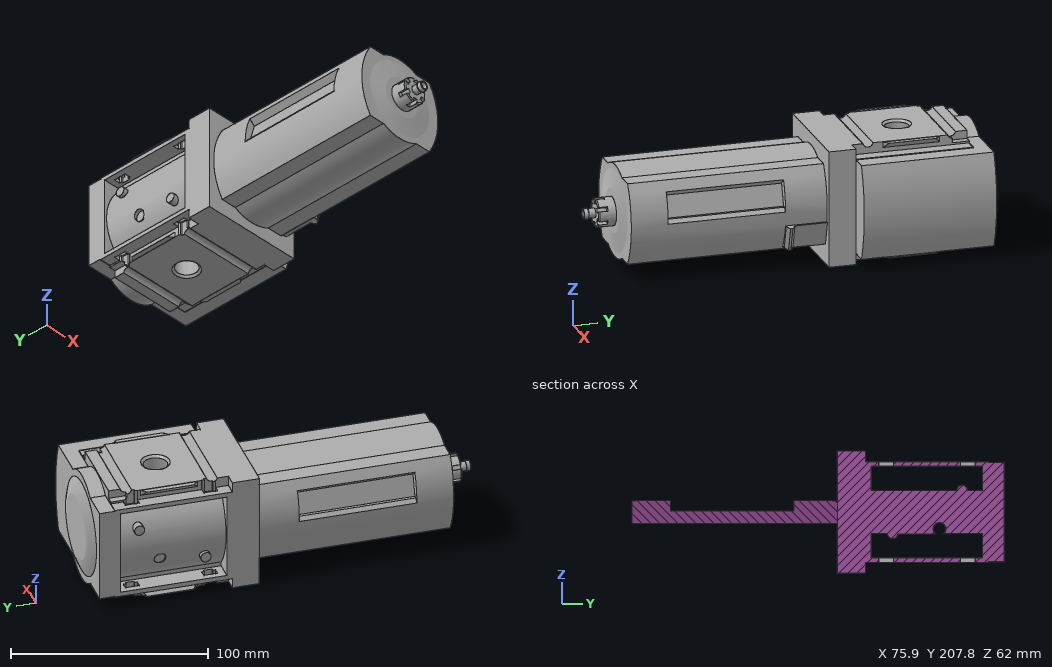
import cadquery as cq
import math


block_half = 31.0
block_back = 76.5
plate_back = 84.5
plate_half_height = 25.1
strip_half_height = 25.5
strip_front = 14.3
centre_half_width = 24.1
wing_edge_x = 40.1
wing_side_x = 44.9

cartridge_radius = 29.5
window_front = 17.2
window_back = 73.4
window_half_height = 23.0
window_floor_x = 21.0
bump_half_width = 14.8
bump_top = 30.3

dome_back = 87.3
dome_base_radius = 25.8
dome_flat_radius = 17.0
dome_rim_radius = 22.2
dome_rim_y = 86.2

pin_diameter = 5.5
pin_end_x = 30.3
pin_places = [(63.2, 11.0), (28.0, -10.8)]
spot_diameter = 6.2
spot_place = (51.7, -8.5)
spot_floor_x = 26.8

port_y = 45.5
port_diameter = 12.5
port_mouth_diameter = 15.0
port_depth = 12.5
groove_places = [67.7, 22.9]
groove_radius = 2.7
groove_depth = 2.0
notch_inner_x = 20.2
notch_front = 67.5
notch_floor = 26.5
tab_overhang = 2.7
tab_front = 30.8
tab_back = 60.7
tab_drop = 0.2
tab_height = 3.0
slot_places = [66.0, 24.7]
slot_outer_x = 27.5
slot_step_x = 24.0
slot_inner_x = 22.7
slot_wide = 7.3
slot_narrow = 4.5

bowl_end = -103.7
bowl_half_width = 27.8
bowl_flat_half = 21.6
bowl_bulge_half_width = 12.0
bowl_bulge_top = 24.7
cone_end = -105.1
cone_flat_radius = 11.6
sight_front = -84.2
sight_back = -22.0
sight_low = 0.0
sight_high = 16.2
sight_floor_low = 2.0
sight_floor_high = 13.3
sight_bevel_depth = 1.7
sight_depth = 3.3

latch_end = -21.8
latch_foot_x = 21.8
latch_low_x = 25.0
latch_high_x = 28.5
latch_low_z = -20.4
latch_high_z = -7.7
ridge_height = 2.0
ridge_length = 4.5
ridge_top_length = 1.2

drain_diameter = 15.0
drain_end = -114.5
drain_slot_count = 6
drain_slot_width = 2.3
drain_slot_length = 5.0
drain_slot_core_diameter = 10.0
drain_chamfer = 0.6
stem_diameter = 5.0
stem_bore_diameter = 3.7
stem_collar_diameter = 5.8
stem_collar_start = -118.2
stem_collar_width = 0.5
stem_end = -120.5


def box(x0, x1, y0, y1, z0, z1):
    """A box given by its limits along each axis."""
    return cq.Workplane("XY").box(x1 - x0, y1 - y0, z1 - z0, centered=False).translate((x0, y0, z0))


def along_y(sketch, y0, y1):
    """Extrude an XZ outline from y0 to y1."""
    return sketch.extrude(-(y1 - y0)).translate((0, y0, 0))


def rod_along_y(diameter, y0, y1):
    return along_y(cq.Workplane("XZ").circle(diameter / 2), y0, y1)


def rod_along_x(diameter, place, x0, x1):
    y, z = place
    return cq.Workplane("YZ").center(y, z).circle(diameter / 2).extrude(x1 - x0).translate((x0, 0, 0))


def both_sides(shape, plane):
    """The shape together with its mirror image."""
    return shape.union(shape.mirror(plane))


def make_block():
    block = box(-block_half, block_half, 0, block_back, -block_half, block_half)
    strip = box(centre_half_width, block_half, strip_front, block_back, strip_half_height, block_half)
    notch = box(notch_inner_x, centre_half_width, notch_front, block_back, notch_floor, block_half)
    return block.cut(both_sides(both_sides(strip.union(notch), "YZ"), "XY"))


def make_back_plate():
    plate = box(-block_half, block_half, block_back, plate_back, -plate_half_height, plate_half_height)
    bump = (
        cq.Workplane("XZ")
        .moveTo(-bump_half_width, plate_half_height)
        .threePointArc((0, bump_top), (bump_half_width, plate_half_height))
        .close()
    )
    return plate.union(both_sides(along_y(bump, block_back, plate_back), "XY"))


def make_wing():
    outline = (
        cq.Workplane("XZ")
        .moveTo(block_half, -plate_half_height)
        .lineTo(wing_edge_x, -plate_half_height)
        .threePointArc((wing_side_x, 0), (wing_edge_x, plate_half_height))
        .lineTo(block_half, plate_half_height)
        .close()
    )
    return along_y(outline, strip_front, plate_back)


def make_dome():
    return (
        cq.Workplane("XY")
        .moveTo(0, plate_back)
        .lineTo(dome_base_radius, plate_back)
        .threePointArc((dome_rim_radius, dome_rim_y), (dome_flat_radius, dome_back))
        .lineTo(0, dome_back)
        .close()
        .revolve(360, (0, 0, 0), (0, 1, 0))
    )


def make_side_window():
    """The window pocket, leaving the cartridge and its pins standing."""
    pocket = box(
        -block_half, -window_floor_x, window_front, window_back, -window_half_height, window_half_height
    )
    pocket = pocket.cut(rod_along_y(2 * cartridge_radius, window_front, window_back))
    for place in pin_places:
        pocket = pocket.cut(rod_along_x(pin_diameter, place, -pin_end_x, 0))
    return pocket.union(rod_along_x(spot_diameter, spot_place, -block_half, -spot_floor_x))


def make_dovetail():
    """A tab with chamfered ends and a sloping underside on the +X side of the upper pad."""
    top = block_half - tab_drop
    outer_x = centre_half_width + tab_overhang
    outline = [
        (centre_half_width, tab_front),
        (outer_x, tab_front + tab_overhang),
        (outer_x, tab_back - tab_overhang),
        (centre_half_width, tab_back),
    ]
    tab = cq.Workplane("XY").workplane(offset=top - tab_height).polyline(outline).close().extrude(tab_height)
    section = [(centre_half_width, top), (outer_x, top), (centre_half_width, top - tab_height)]
    return tab.intersect(along_y(cq.Workplane("XZ").polyline(section).close(), tab_front, tab_back))


def make_port():
    mouth_depth = (port_mouth_diameter - port_diameter) / 2
    bore = cq.Workplane("XY").workplane(offset=block_half).circle(port_diameter / 2).extrude(-port_depth)
    mouth = (
        cq.Workplane("XY")
        .workplane(offset=block_half)
        .circle(port_mouth_diameter / 2)
        .extrude(-mouth_depth, taper=45)
    )
    return bore.union(mouth).translate((0, port_y, 0))


def make_groove(y):
    axis_z = block_half - groove_depth + groove_radius
    return rod_along_x(2 * groove_radius, (y, axis_z), -centre_half_width, centre_half_width)


def make_clip_slot(y):
    """A T-shaped slot from the window up through the strip, biting into the pad."""

    def part(outer_x, inner_x, width):
        return box(-outer_x, -inner_x, y - width / 2, y + width / 2, window_half_height, block_half)

    return part(slot_outer_x, slot_step_x, slot_wide).union(part(slot_step_x, slot_inner_x, slot_narrow))


def make_housing():
    body = make_block().union(make_back_plate()).union(make_wing()).union(make_dome())
    body = body.union(both_sides(both_sides(make_dovetail(), "YZ"), "XY"))
    body = body.cut(make_side_window())
    cuts = make_port()
    for y in groove_places:
        cuts = cuts.union(make_groove(y))
    for y in slot_places:
        cuts = cuts.union(make_clip_slot(y))
    return body.cut(both_sides(cuts, "XY"))


def make_bowl_shell():
    outline = (
        cq.Workplane("XZ")
        .moveTo(-bowl_flat_half, bowl_flat_half)
        .lineTo(-bowl_bulge_half_width, bowl_flat_half)
        .threePointArc((0, bowl_bulge_top), (bowl_bulge_half_width, bowl_flat_half))
        .lineTo(bowl_flat_half, bowl_flat_half)
        .threePointArc((bowl_half_width, 0), (bowl_flat_half, -bowl_flat_half))
        .lineTo(bowl_bulge_half_width, -bowl_flat_half)
        .threePointArc((0, -bowl_bulge_top), (-bowl_bulge_half_width, -bowl_flat_half))
        .lineTo(-bowl_flat_half, -bowl_flat_half)
        .threePointArc((-bowl_half_width, 0), (-bowl_flat_half, bowl_flat_half))
        .close()
    )
    return along_y(outline, bowl_end, 0)


def side_surface_x(z):
    """X of the bowl's rounded side at height z."""
    sagitta = bowl_half_width - bowl_flat_half
    radius = (bowl_flat_half**2 + sagitta**2) / (2 * sagitta)
    return bowl_half_width - radius + math.sqrt(radius**2 - z**2)


def make_sight_window():
    """A recess with sloping long walls, and a ledge above the lower one, in the bowl's +X side."""
    low_x = side_surface_x(sight_low)
    high_x = side_surface_x(sight_high)
    section = [
        (block_half, sight_low),
        (low_x, sight_low),
        (low_x - sight_bevel_depth, sight_floor_low),
        (low_x - sight_depth, sight_floor_low),
        (high_x - sight_depth, sight_floor_high),
        (high_x, sight_high),
        (block_half, sight_high),
    ]
    return along_y(cq.Workplane("XZ").polyline(section).close(), sight_front, sight_back)


def make_latch():
    """A thin tongue on the bowl's lower +X side, ending in a ridge."""
    section = [
        (latch_foot_x, latch_low_z),
        (latch_low_x, latch_low_z),
        (latch_high_x, latch_high_z),
        (latch_foot_x, latch_high_z),
    ]
    tongue = along_y(cq.Workplane("XZ").polyline(section).close(), latch_end, 0)
    rise_x = latch_high_x - latch_low_x
    rise_z = latch_high_z - latch_low_z
    face = cq.Plane(
        origin=(latch_low_x, latch_end, latch_low_z), xDir=(0, 1, 0), normal=(rise_x, 0, rise_z)
    )
    top_start = (ridge_length - ridge_top_length) / 2
    top_end = top_start + ridge_top_length
    ridge_section = [(0, 0), (ridge_length, 0), (top_end, -ridge_height), (top_start, -ridge_height)]
    ridge = (
        cq.Workplane(face)
        .polyline(ridge_section)
        .close()
        .extrude(math.hypot(rise_x, rise_z))
    )
    return tongue.union(ridge)


def make_end_cone():
    return (
        cq.Workplane("XY")
        .polyline([(0, bowl_end), (bowl_flat_half, bowl_end), (cone_flat_radius, cone_end), (0, cone_end)])
        .close()
        .revolve(360, (0, 0, 0), (0, 1, 0))
    )


def make_drain():
    drain = rod_along_y(drain_diameter, drain_end, cone_end).faces("<Y").chamfer(drain_chamfer)
    slot = box(
        drain_slot_core_diameter / 2,
        drain_diameter,
        drain_end,
        drain_end + drain_slot_length,
        -drain_slot_width / 2,
        drain_slot_width / 2,
    )
    pitch = 360 / drain_slot_count
    for i in range(drain_slot_count):
        drain = drain.cut(slot.rotate((0, 0, 0), (0, 1, 0), pitch * (i + 0.5)))
    return drain


def make_stem():
    """The hollow hose stem with its tapered collar."""
    collar_radius = stem_collar_diameter / 2
    collar_end = stem_collar_start - stem_collar_width
    stem_radius = stem_diameter / 2
    bore_radius = stem_bore_diameter / 2
    wall = [
        (bore_radius, drain_end),
        (stem_radius, drain_end),
        (stem_radius, stem_collar_start),
        (collar_radius, stem_collar_start),
        (collar_radius, collar_end),
        (stem_radius, stem_end),
        (bore_radius, stem_end),
    ]
    return cq.Workplane("XY").polyline(wall).close().revolve(360, (0, 0, 0), (0, 1, 0))


def make_bowl():
    body = make_bowl_shell().cut(both_sides(make_sight_window(), "YZ"))
    for detail in (make_latch(), make_end_cone(), make_drain(), make_stem()):
        body = body.union(detail)
    return body


housing = make_housing()
bowl = make_bowl()
result = cq.Compound.makeCompound([housing.val(), bowl.val()])